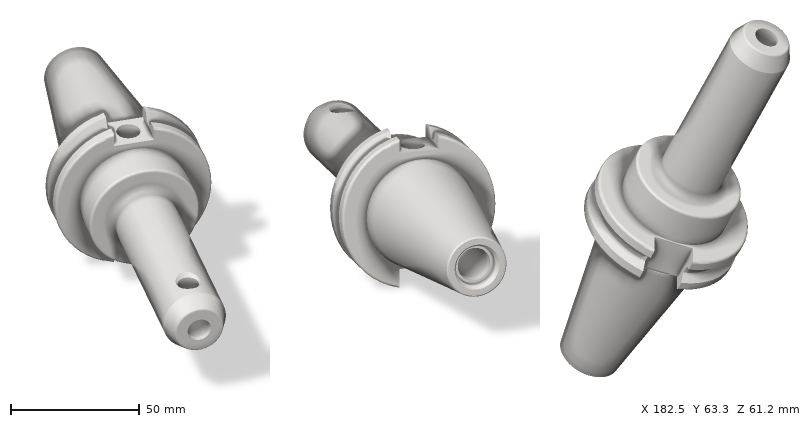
import cadquery as cq
import math

length = 182.5
gauge_x = 68.5
neck_x = 69.7
flange_start_x = 71.2
flange_end_x = 87.3
collar_end_x = 103.0
nose_start_x = 175.6

taper_small_d = 24.6
gauge_d = 44.4
neck_d = 43.6
flange_d = 63.3
collar_d = gauge_d
shaft_d = 25.4
nose_drop = 3.1

taper_chamfer = 0.5
flange_round = 1.1
collar_round = 1.1
shaft_root_round = 3.3
nose_round = 1.0

groove_x = 79.2
groove_floor_width = 3.5
groove_depth = 3.7
groove_flank_angle = 30.0

slot_width = 16.0
upper_slot_floor_z = 25.0
lower_slot_floor_z = -22.6
dimple_x = 79.0
dimple_d = 9.5
dimple_depth = 7.3
drill_point_angle = 118.0

mouth_d = 18.5
mouth_depth = 1.6
counterbore_d = 16.2
counterbore_depth = 3.8
thread_d = 13.3
thread_depth = 29.2
through_d = 9.5

cross_hole_x = 166.3
cross_hole_d = 8.4
countersink_d = 11.7


def revolve_about_x(profile):
    return profile.close().revolve(360, (0, 0, 0), (1, 0, 0))


def drill_point_length(large_d, small_d=0.0):
    return (large_d - small_d) / 2 / math.tan(math.radians(drill_point_angle / 2))


def make_shank():
    """Taper, neck, collar and shaft, without the flange."""
    small_r = taper_small_d / 2
    gauge_r = gauge_d / 2
    collar_r = collar_d / 2
    shaft_r = shaft_d / 2
    nose_r = shaft_r - nose_drop
    root_x = collar_end_x + shaft_root_round
    root_r = shaft_r + shaft_root_round
    arc_inset = shaft_root_round * (1 - math.sqrt(0.5))
    body = revolve_about_x(
        cq.Workplane("XY")
        .moveTo(0, 0)
        .lineTo(0, small_r - taper_chamfer)
        .lineTo(taper_chamfer, small_r)
        .lineTo(gauge_x, gauge_r)
        .lineTo(neck_x, gauge_r)
        .lineTo(neck_x, neck_d / 2)
        .lineTo(flange_start_x, neck_d / 2)
        .lineTo(flange_start_x, collar_r)
        .lineTo(collar_end_x, collar_r)
        .lineTo(collar_end_x, root_r)
        .threePointArc((collar_end_x + arc_inset, shaft_r + arc_inset), (root_x, shaft_r))
        .lineTo(nose_start_x, shaft_r)
        .lineTo(length, nose_r)
        .lineTo(length, 0)
    )
    shoulder_point = (collar_end_x, 0, (collar_r + root_r) / 2)
    shoulder = body.faces(cq.selectors.NearestToPointSelector(shoulder_point))
    outermost_edge = cq.selectors.RadiusNthSelector(-1)
    body = shoulder.edges(outermost_edge).fillet(collar_round)
    return body.faces(">X").edges().fillet(nose_round)


def make_flange():
    """Flange ring with rounded rims, V-groove and drive slots."""
    width = flange_end_x - flange_start_x
    disc = cq.Workplane("YZ", origin=(flange_start_x, 0, 0)).circle(flange_d / 2).extrude(width)
    disc = disc.faces("<X or >X").edges().fillet(flange_round)

    outer_r = flange_d / 2
    floor_r = outer_r - groove_depth
    floor_half = groove_floor_width / 2
    mouth_half = floor_half + groove_depth * math.tan(math.radians(groove_flank_angle))
    groove = revolve_about_x(
        cq.Workplane("XY")
        .moveTo(groove_x - floor_half, floor_r)
        .lineTo(groove_x + floor_half, floor_r)
        .lineTo(groove_x + mouth_half, outer_r)
        .lineTo(groove_x - mouth_half, outer_r)
    )
    disc = disc.cut(groove)

    middle_x = (flange_start_x + flange_end_x) / 2
    for floor_z in (upper_slot_floor_z, lower_slot_floor_z):
        signed_height = math.copysign(outer_r, floor_z)
        slot = cq.Workplane("XY").box(width, slot_width, outer_r)
        disc = disc.cut(slot.translate((middle_x, 0, floor_z + signed_height / 2)))
    return disc


def make_bore():
    """Stepped axial bore running through the whole length."""
    thread_end_x = thread_depth + drill_point_length(thread_d, through_d)
    return revolve_about_x(
        cq.Workplane("XY")
        .moveTo(0, 0)
        .lineTo(0, mouth_d / 2)
        .lineTo(mouth_depth, counterbore_d / 2)
        .lineTo(counterbore_depth, counterbore_d / 2)
        .lineTo(counterbore_depth, thread_d / 2)
        .lineTo(thread_depth, thread_d / 2)
        .lineTo(thread_end_x, through_d / 2)
        .lineTo(length, through_d / 2)
        .lineTo(length, 0)
    )


def make_dimple():
    """Blind hole with a conical drill point in the upper slot floor."""
    dimple_r = dimple_d / 2
    shoulder_z = upper_slot_floor_z - dimple_depth
    profile = (
        cq.Workplane("XZ", origin=(dimple_x, 0, 0))
        .moveTo(0, upper_slot_floor_z)
        .lineTo(dimple_r, upper_slot_floor_z)
        .lineTo(dimple_r, shoulder_z)
        .lineTo(0, shoulder_z - drill_point_length(dimple_d))
        .close()
    )
    return profile.revolve(360, (0, 0, 0), (0, 1, 0))


def make_cross_hole():
    """Countersunk radial hole from the top of the shaft to the bore."""
    hole_r = cross_hole_d / 2
    sink_r = countersink_d / 2
    top_z = shaft_d / 2
    profile = (
        cq.Workplane("XZ", origin=(cross_hole_x, 0, 0))
        .moveTo(0, 0)
        .lineTo(hole_r, 0)
        .lineTo(hole_r, top_z - (sink_r - hole_r))
        .lineTo(sink_r, top_z)
        .lineTo(0, top_z)
        .close()
    )
    return profile.revolve(360, (0, 0, 0), (0, 1, 0))


result = make_shank().union(make_flange())
result = result.cut(make_bore()).cut(make_dimple()).cut(make_cross_hole())